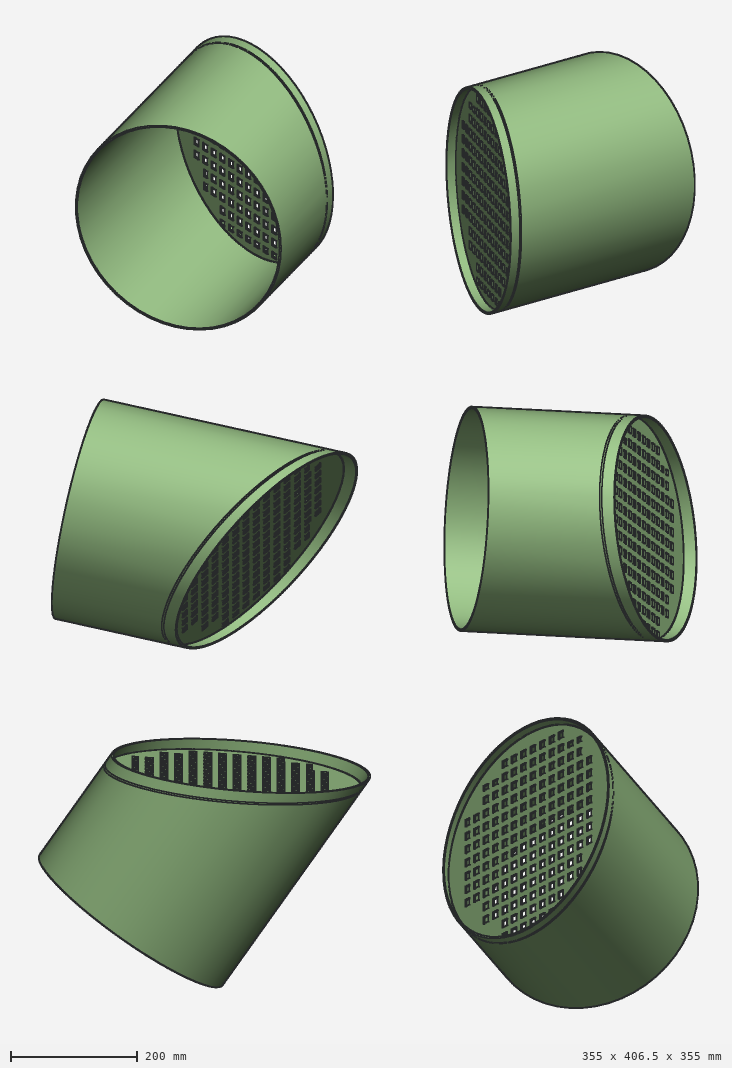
import cadquery as cq
import math

TUBE_LENGTH = 406.5
TUBE_DIAMETER = 355.0
BORE_DIAMETER = 349.3
SLANT_ANGLE = 30.0

PLATE_DIAMETER = 352.0
PLATE_THICKNESS = 3.0
PLATE_DEPTH = 17.5

HOLE_SIZE = 11.8
HOLE_PITCH = 23.0
GRID_COUNT = 14
FIRST_COLUMN_U = -146.5
FIRST_ROW_Z = 144.7

TALL_ZONE = (-81.7, 77.3, -160.0, 150.5)
MIDDLE_ZONE = (-126.5, 122.0, -122.0, 124.5)
WIDE_ZONE = (-151.5, 158.5, -77.3, 85.5)
GRILLE_ZONES = (TALL_ZONE, MIDDLE_ZONE, WIDE_ZONE)

SLANT_AXIS_Y = TUBE_LENGTH - TUBE_DIAMETER / 2 * math.tan(math.radians(SLANT_ANGLE))


def rod(diameter):
    """Solid cylinder along Y, as long as the tube before its slanted cut."""
    return cq.Workplane("XZ").circle(diameter / 2).extrude(-TUBE_LENGTH)


def slanted_plane(depth):
    """Plane parallel to the slanted end, the given depth inside it, with its normal facing out."""
    slant = math.radians(SLANT_ANGLE)
    return cq.Plane(
        origin=(0, SLANT_AXIS_Y - depth / math.cos(slant), 0),
        xDir=(-math.cos(slant), math.sin(slant), 0),
        normal=(math.sin(slant), math.cos(slant), 0),
    )


def slanted_slab(depth, thickness):
    """Slab parallel to the slanted end, wide enough to cross the whole tube."""
    return cq.Workplane(slanted_plane(depth)).rect(2 * TUBE_LENGTH, 2 * TUBE_LENGTH).extrude(thickness)


def plate_disc():
    """Round plate whose edge follows a cylinder along the tube axis."""
    return rod(PLATE_DIAMETER).intersect(slanted_slab(PLATE_DEPTH + PLATE_THICKNESS, PLATE_THICKNESS))


def zone_holes(zone):
    """Prisms for the grid holes inside one zone, cut short where the zone ends."""
    zone_left, zone_right, zone_bottom, zone_top = zone
    base = slanted_plane(PLATE_DEPTH + PLATE_THICKNESS)
    prisms = []
    for column in range(GRID_COUNT):
        hole_left = FIRST_COLUMN_U + column * HOLE_PITCH - HOLE_SIZE / 2
        left = max(hole_left, zone_left)
        right = min(hole_left + HOLE_SIZE, zone_right)
        for row in range(GRID_COUNT):
            hole_top = FIRST_ROW_Z - row * HOLE_PITCH + HOLE_SIZE / 2
            top = min(hole_top, zone_top)
            bottom = max(hole_top - HOLE_SIZE, zone_bottom)
            if left < right and bottom < top:
                prism = (
                    cq.Workplane(base)
                    .center(-(left + right) / 2, (bottom + top) / 2)
                    .rect(right - left, top - bottom)
                    .extrude(PLATE_THICKNESS)
                )
                prisms.append(prism.val())
    return cq.Compound.makeCompound(prisms)


def make_tube():
    """Thin tube with a slanted end and a shallow groove for the plate."""
    tube = rod(TUBE_DIAMETER).cut(rod(BORE_DIAMETER))
    tube = tube.cut(slanted_slab(0, TUBE_LENGTH))
    return tube.cut(plate_disc())


def make_grille():
    """Plate with the grid holes of every zone cut through it."""
    grille = plate_disc()
    for zone in GRILLE_ZONES:
        grille = grille.cut(cq.Workplane(zone_holes(zone)))
    return grille


tube = make_tube()
grille = make_grille()

result = cq.Compound.makeCompound([tube.val(), grille.val()])